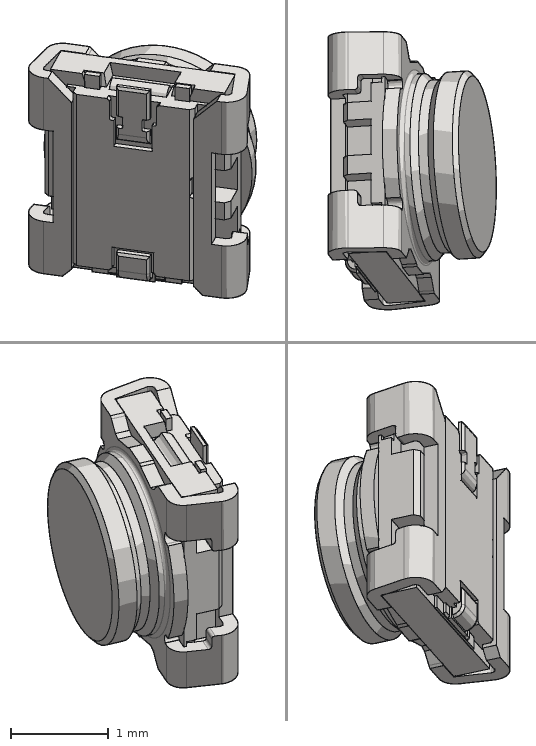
import cadquery as cq
import math


half_size = 1.15
sheet = 0.155
plate_back = 0.752
plate_front = plate_back - sheet
leg_tilt = math.tan(math.radians(11.0))
leg_tilt_length = math.hypot(1.0, leg_tilt)
foot_bend = 0.207
back_bend = 0.182
inner_bend = 0.05
foot_tip_x = 0.646
foot_top_chamfer = 0.248
foot_bottom_chamfer = 0.097

foot_window_x = 0.84
foot_window_z = 0.535
leg_window_z = 0.697
leg_window_step_y = 0.345
leg_window_round = 0.035

disc_radius = 1.105
relief_radius = 0.058
plate_edge = [(0.662, 1.15), (0.637, 1.127), (0.527, 1.017), (0.455, 0.994), (0.175, 1.072), (0.147, 1.095)]
barrel_radius = 0.96
groove_radius = 0.888
rim_radius = 0.902
barrel_end = 1.35
rim_start = 1.3
groove_start = 0.855
groove_floor_start = 0.93
groove_floor_end = 1.028
groove_end = 1.1
root_fillet = 0.044

block_x = 0.925
block_end = 1.143
block_front = 0.2
lug_x = 0.987
lug_chamfer = 0.055
lug_top = 0.446
lug_bottom = -0.32
key_top = 0.258
key_bottom = -0.12
flange_front = 0.455
flange_z = 0.642
lip_front = 0.565
notch_x = 0.743
notch_z = 0.828
face_y = 0.0195
face_chamfer = 0.045
face_top = 0.995
face_bottom = -1.012
key_notch_top = 0.16
key_notch_bottom = -0.028

recess_x = 0.345
recess_back = 0.5
recess_side_draft = 0.032
wing_x = 0.543
wing_back = 0.248
wing_side_draft = 0.048
wing_back_draft = 0.025
stub_inner_x = 0.4
stub_outer_x = 0.557
stub_front = 0.18
stub_back = 0.244
spring_x = 0.304
spring_top = 1.065
spring_front = 0.207
spring_crest_y = 0.334
seat_overlap = 0.023

tail_x = 0.177
tail_bevel = 0.028
tail_depth = 0.065
pocket_floor = 0.083
pocket_wide_x = 0.248
pocket_step_z = 0.748
pocket_narrow_x = 0.202
pocket_bottom = 0.446
pocket_round = 0.023
pocket_flare = 0.028
upper_tail_bottom = 0.5
upper_tail_bend = 0.108
neck_x = 0.104
neck_top = 0.815
neck_bottom = 0.678
neck_round = 0.015
lower_pocket_x = 0.22
lower_pocket_top = -0.74
lower_tail_top = -0.795
lower_tail_bottom = -1.12
lower_tail_bend = 0.126
saddle_x = 0.474
saddle_front = 0.172
saddle_chamfer = 0.035
strip_x = 0.301
strip_front = 0.15
cradle_front = 0.126
cradle_bottom = -1.143


def box(x_min, x_max, y_min, y_max, z_min, z_max):
    size = (x_max - x_min, y_max - y_min, z_max - z_min)
    return cq.Workplane("XY").box(*size, centered=False).translate((x_min, y_min, z_min))


def centred_box(half_x, y_min, y_max, z_min, z_max):
    return box(-half_x, half_x, y_min, y_max, z_min, z_max)


def prism_y(points, y_min, y_max):
    """Extrude an X-Z outline from y_min to y_max."""
    return cq.Workplane("XZ", origin=(0, y_min, 0)).polyline(points).close().extrude(y_min - y_max)


def both_sides(body):
    return body.union(body.mirror("YZ"))


def wrap_profile(offset):
    """Trapezoid prism of the folded shell, moved inward by offset."""
    front_x = half_size + foot_bend * (leg_tilt_length + leg_tilt - 1)

    def side_x(y):
        return front_x - leg_tilt * y - offset * leg_tilt_length

    y_min = offset
    y_max = plate_back - offset
    points = [
        (-side_x(y_min), y_min),
        (side_x(y_min), y_min),
        (side_x(y_max), y_max),
        (-side_x(y_max), y_max),
    ]
    return cq.Workplane("XY", origin=(0, 0, -half_size)).polyline(points).close().extrude(2 * half_size)


def make_bulges():
    """Disc-shaped part of the plate inside the windows, with a relief slot at each window end."""
    disc = cq.Workplane("XZ", origin=(0, plate_front, 0)).circle(disc_radius).extrude(-sheet)
    disc = disc.intersect(centred_box(half_size, 0, half_size, -leg_window_z, leg_window_z))
    relief_x = foot_window_x + relief_radius
    relief_z = leg_window_z - relief_radius
    reliefs = (
        cq.Workplane("XZ", origin=(0, plate_front, 0))
        .pushPoints([(sx * (relief_x + relief_radius), sz * relief_z) for sx in (-1, 1) for sz in (-1, 1)])
        .slot2D(4 * relief_radius, 2 * relief_radius)
        .extrude(-sheet)
    )
    return disc.cut(reliefs)


def make_shell():
    outer = wrap_profile(0).edges("|Z and <Y").fillet(foot_bend).edges("|Z and >Y").fillet(back_bend)
    inner = wrap_profile(sheet).edges("|Z and <Y").fillet(inner_bend)
    shell = outer.cut(inner).cut(centred_box(foot_tip_x, 0, sheet, -half_size, half_size))

    for end, clip in ((1, foot_top_chamfer), (-1, foot_bottom_chamfer)):
        corner = [
            (foot_tip_x, end * half_size),
            (foot_tip_x + clip, end * half_size),
            (foot_tip_x, end * (half_size - clip)),
        ]
        shell = shell.cut(both_sides(prism_y(corner, 0, sheet)))

    window = (
        cq.Workplane("YZ", origin=(foot_window_x, 0, 0))
        .rect(2 * leg_window_step_y, 2 * foot_window_z)
        .extrude(half_size)
    )
    wide = box(foot_window_x, half_size + foot_window_x, leg_window_step_y, half_size,
               -leg_window_z, leg_window_z)
    window = window.union(wide)
    window = window.edges("|X").edges(
        cq.selectors.BoxSelector((0, leg_window_step_y - 0.023, -half_size),
                                 (2 * half_size, leg_window_step_y + 0.023, half_size))
    ).fillet(leg_window_round)
    shell = shell.cut(both_sides(window))

    shell = shell.union(make_bulges())

    edge = plate_edge + [(-x, z) for x, z in reversed(plate_edge)]
    gap = prism_y(edge, plate_front, plate_back)
    return shell.cut(gap).cut(gap.mirror("XY"))


def make_barrel():
    root_mid = root_fillet * (1 - math.sqrt(0.5))
    return (
        cq.Workplane("XY")
        .moveTo(0, plate_front)
        .lineTo(barrel_radius, plate_front)
        .lineTo(barrel_radius + root_fillet, plate_back)
        .threePointArc((barrel_radius + root_mid, plate_back + root_mid),
                       (barrel_radius, plate_back + root_fillet))
        .lineTo(barrel_radius, groove_start)
        .lineTo(groove_radius, groove_floor_start)
        .lineTo(groove_radius, groove_floor_end)
        .lineTo(barrel_radius, groove_end)
        .lineTo(barrel_radius, rim_start)
        .lineTo(rim_radius, barrel_end)
        .lineTo(0, barrel_end)
        .close()
        .revolve(360, (0, 0, 0), (0, 1, 0))
    )


def make_lug(z_min, z_max):
    lug = box(0, lug_x, sheet, plate_front, z_min, z_max)
    return lug.edges("|Z and >X and <Y").chamfer(lug_chamfer)


def make_insulator():
    block = centred_box(block_x, block_front, plate_front, -block_end, block_end)
    notches = box(notch_x, half_size, 0, flange_front, -notch_z, notch_z)
    block = block.cut(both_sides(notches))
    block = block.union(centred_box(lug_x, flange_front, plate_front, -flange_z, flange_z))
    block = block.union(centred_box(lug_x, lip_front, plate_front, -leg_window_z, leg_window_z))

    block = block.union(make_lug(lug_bottom, lug_top).mirror("YZ"))
    block = block.union(make_lug(lug_bottom, key_bottom)).union(make_lug(key_top, lug_top))

    block = block.union(centred_box(notch_x, sheet, block_front, face_bottom, face_top))
    face = centred_box(foot_tip_x, face_y, block_front, face_bottom, face_top)
    face = face.edges("|Z and <Y").chamfer(face_chamfer)
    inner_x = foot_tip_x - face_chamfer
    key_notch = [
        (inner_x, key_notch_top),
        (foot_tip_x, key_notch_top + face_chamfer),
        (foot_tip_x, key_notch_bottom - face_chamfer),
        (inner_x, key_notch_bottom),
    ]
    face = face.cut(prism_y(key_notch, face_y, face_y + 2 * face_chamfer))
    return block.union(face)


def make_recess():
    """T-shaped recess with leaning walls, opening through the block's top and front."""

    def leaning_pocket(half_x, side_draft, back, back_draft):
        front = sheet
        depth = back - front
        return (
            cq.Workplane("XY", origin=(0, front, face_top))
            .rect(2 * half_x, 2 * depth)
            .workplane(offset=half_size - face_top)
            .rect(2 * (half_x + side_draft), 2 * (depth + back_draft))
            .loft()
        )

    middle = leaning_pocket(recess_x, recess_side_draft, recess_back, 0)
    wings = leaning_pocket(wing_x, wing_side_draft, wing_back, wing_back_draft)
    return middle.union(wings)


def make_spring():
    """Contact ridge across the recess: round in front of its crest, hollow behind it."""
    half_width = spring_crest_y - spring_front
    height = spring_top - face_top
    radius = (half_width**2 + height**2) / (2 * height)
    half_angle = math.atan2(height, half_width)
    mid_y = radius * math.sin(half_angle)
    mid_z = radius * (1 - math.cos(half_angle))
    return (
        cq.Workplane("YZ", origin=(-spring_x, spring_crest_y, face_top))
        .moveTo(-half_width, -seat_overlap)
        .lineTo(-half_width, 0)
        .threePointArc((-mid_y, height - mid_z), (0, height))
        .threePointArc((half_width - mid_y, mid_z), (half_width, 0))
        .lineTo(half_width, -seat_overlap)
        .close()
        .extrude(2 * spring_x)
    )


def make_stubs():
    stub = box(stub_inner_x, stub_outer_x, stub_front, stub_back, face_top - seat_overlap, half_size)
    return both_sides(stub)


def flared_pocket(half_x, blind_end, mouth):
    """Pocket in the front face whose mouth widens at 45 degrees; the mouth edge is at Z = mouth."""
    direction = math.copysign(1, mouth)
    throat = mouth - direction * pocket_flare
    outline = [
        (-half_x, blind_end),
        (-half_x, throat),
        (-half_x - pocket_flare, mouth),
        (half_x + pocket_flare, mouth),
        (half_x, throat),
        (half_x, blind_end),
    ]
    return prism_y(outline, 0, pocket_floor)


def make_upper_pocket():
    wide = flared_pocket(pocket_wide_x, pocket_step_z, face_top)
    wide = wide.edges("|Y and <Z").fillet(pocket_round)
    return wide.union(centred_box(pocket_narrow_x, 0, pocket_floor, pocket_bottom, face_top))


def make_lower_pocket():
    return flared_pocket(lower_pocket_x, lower_pocket_top, face_bottom)


def make_upper_tail():
    tail = centred_box(tail_x, 0, tail_depth, upper_tail_bottom, half_size)
    tail = tail.edges("<Y and (|Z or >Z)").chamfer(tail_bevel)
    root_top = upper_tail_bottom + upper_tail_bend
    tail = tail.union(centred_box(tail_x, tail_depth, block_front, upper_tail_bottom, root_top))

    end = centred_box(tail_x, 0, block_front, upper_tail_bottom, neck_bottom)
    curl = end.cut(end.edges("|X and <Y and <Z").fillet(upper_tail_bend))
    tail = tail.cut(curl)

    neck = box(neck_x, tail_x + 0.023, 0, pocket_floor, neck_bottom, neck_top)
    neck = neck.edges("|Y and <X").fillet(neck_round)
    return tail.cut(both_sides(neck))


def make_lower_tail():
    tail = centred_box(tail_x, 0, block_front, lower_tail_bottom, lower_tail_top)
    tail = tail.edges("|X and <Y and <Z").fillet(lower_tail_bend)
    return tail.faces("<Y").edges("|Z or >Z").chamfer(tail_bevel)


def make_saddle():
    """Raised seat under the lower contact, with the contact strip across it."""
    saddle = centred_box(saddle_x, saddle_front, block_front, -half_size, face_bottom)
    strip = centred_box(strip_x, strip_front, block_front, -half_size, face_bottom)
    strip = strip.edges("|X and <Y and <Z").chamfer(saddle_chamfer)
    cradle = centred_box(pocket_narrow_x, cradle_front, block_front, cradle_bottom, face_bottom)
    return saddle.union(strip).union(cradle)


insulator = make_insulator().cut(make_recess()).cut(make_upper_pocket()).cut(make_lower_pocket())
insulator = insulator.union(make_saddle())
contacts = make_spring().union(make_stubs()).union(make_upper_tail()).union(make_lower_tail())
result = make_shell().union(make_barrel()).union(insulator).union(contacts)